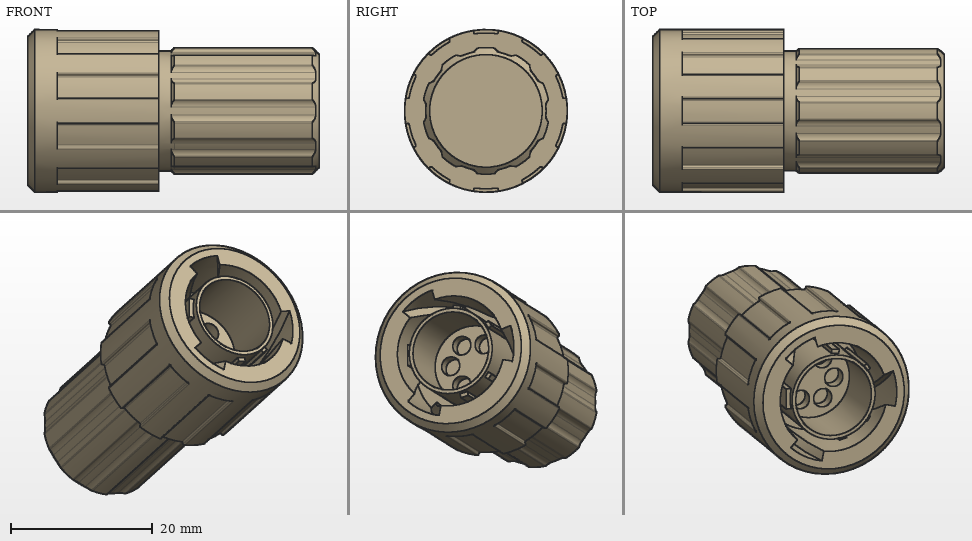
import cadquery as cq
import math

LENGTH = 41.25

COLLAR_R = 23.0 / 2
COLLAR_END = 18.55
COLLAR_CHAMFER = 1.05
COLLAR_GROOVE_START = 4.2
COLLAR_GROOVE_COUNT = 10
COLLAR_GROOVE_WIDTH = 3.45
COLLAR_GROOVE_DEPTH = 0.5
COLLAR_GROOVE_ROUND = 0.2

NECK_R = 17.0 / 2
GRIP_R = 17.9 / 2
GRIP_START = 20.3
GRIP_CHAMFER = 1.0
FLUTE_COUNT = 10
FLUTE_FLOOR_WIDTH = 1.15
FLUTE_SIDE_R = 2.7 / 2
FLUTE_EDGE_ROUND = 0.225

SOCKET_DEPTH = 10.3
SOCKET_FRONT_R = 7.9
SOCKET_FLOOR_R = 7.35
SLEEVE_OUTER_R = 12.3 / 2
SLEEVE_INNER_R = 11.2 / 2

CHANNEL_COUNT = 3
CHANNEL_FRONT_R = 9.35
CHANNEL_FLOOR_R = 8.5
CHANNEL_SPAN = 32.0
CHANNEL_ANGLE = 176.6
CHANNEL_TWIST = 36.0

KEY_OUTER_R = 6.72
KEY_START = 1.0
KEYS = [(0.0, 2.93), (95.0, 1.1), (145.0, 0.85), (215.0, 0.85), (255.0, 1.1)]

CONTACT_COUNT = 6
CONTACT_D = 2.7
CONTACT_CIRCLE_R = 3.3
CONTACT_DEPTH = 2.05

OVERLAP = 0.4


def plane_at(x):
    """Cross-section plane at the given X; its local axes are Y and Z."""
    return cq.Workplane("YZ", origin=(x, 0, 0))


def disc(x_start, x_end, radius):
    return plane_at(x_start).circle(radius).extrude(x_end - x_start)


def turned(points):
    """Solid of revolution about X from (x, radius) points."""
    return cq.Workplane("XY").polyline(points).close().revolve(360, (0, 0, 0), (1, 0, 0))


def polar_point(radius, angle):
    turn = math.radians(angle)
    return radius * math.cos(turn), radius * math.sin(turn)


def cut_around(body, tool, count):
    """Cut copies of a tool spaced evenly about X."""
    for i in range(count):
        body = body.cut(tool.rotate((0, 0, 0), (1, 0, 0), i * 360 / count))
    return body


def collar():
    """Chamfered sleeve with rounded grip grooves running out at its rear end."""
    body = disc(0, COLLAR_END, COLLAR_R).faces("<X").chamfer(COLLAR_CHAMFER)
    floor_r = COLLAR_R - COLLAR_GROOVE_DEPTH
    groove = (
        plane_at(COLLAR_GROOVE_START)
        .center(0, COLLAR_R)
        .rect(COLLAR_GROOVE_WIDTH, COLLAR_R)
        .extrude(COLLAR_END - COLLAR_GROOVE_START)
        .cut(disc(COLLAR_GROOVE_START, COLLAR_END, floor_r))
    )
    body = cut_around(body, groove, COLLAR_GROOVE_COUNT)

    groove_edges = body.edges("|X").filter(lambda e: abs(e.Center().z) > OVERLAP)
    return groove_edges.fillet(COLLAR_GROOVE_ROUND)


def fluted_outline(x):
    """Grip cross-section: crests joined to the neck circle by concave flute sides."""
    pitch = 360 / FLUTE_COUNT
    half_floor = math.degrees(FLUTE_FLOOR_WIDTH / 2 / NECK_R)

    centre_r = NECK_R + FLUTE_SIDE_R
    cos_side = (GRIP_R ** 2 + centre_r ** 2 - FLUTE_SIDE_R ** 2) / (2 * GRIP_R * centre_r)
    side_angle = math.acos(cos_side)
    side_sweep = math.asin(GRIP_R * math.sin(side_angle) / FLUTE_SIDE_R)
    mid_out = centre_r - FLUTE_SIDE_R * math.cos(side_sweep / 2)
    mid_across = FLUTE_SIDE_R * math.sin(side_sweep / 2)
    mid_r = math.hypot(mid_out, mid_across)
    to_mid = half_floor + math.degrees(math.atan2(mid_across, mid_out))
    to_crest = half_floor + math.degrees(side_angle)

    outline = plane_at(x).moveTo(*polar_point(NECK_R, -half_floor))
    for i in range(FLUTE_COUNT):
        flute = i * pitch
        crest = flute + pitch / 2
        next_flute = flute + pitch
        outline = (
            outline
            .threePointArc(polar_point(NECK_R, flute), polar_point(NECK_R, flute + half_floor))
            .threePointArc(polar_point(mid_r, flute + to_mid), polar_point(GRIP_R, flute + to_crest))
            .threePointArc(polar_point(GRIP_R, crest), polar_point(GRIP_R, next_flute - to_crest))
            .threePointArc(
                polar_point(mid_r, next_flute - to_mid),
                polar_point(NECK_R, next_flute - half_floor),
            )
        )
    return outline.close()


def grip():
    """Fluted grip, chamfered at both ends; the flute floors lie flush with the neck."""
    crest_r = (GRIP_R + NECK_R) / 2
    body = fluted_outline(GRIP_START).extrude(LENGTH - GRIP_START)
    crest_edges = body.edges("|X").filter(lambda e: math.hypot(e.Center().y, e.Center().z) > crest_r)
    body = crest_edges.fillet(FLUTE_EDGE_ROUND)
    rise = GRIP_R - NECK_R
    envelope = turned([
        (GRIP_START, 0),
        (GRIP_START, NECK_R),
        (GRIP_START + rise, GRIP_R),
        (LENGTH - GRIP_CHAMFER, GRIP_R),
        (LENGTH, GRIP_R - GRIP_CHAMFER),
        (LENGTH, 0),
    ])
    return body.intersect(envelope)


def tapered_bore(front_r, floor_r):
    return turned([(0, 0), (0, front_r), (SOCKET_DEPTH, floor_r), (SOCKET_DEPTH, 0)])


def bayonet_channel(angle):
    """Helical channel whose outer wall narrows with depth."""
    inner_r = SLEEVE_OUTER_R + OVERLAP
    outer_r = CHANNEL_FRONT_R + OVERLAP
    start = angle - CHANNEL_SPAN / 2
    end = angle + CHANNEL_SPAN / 2
    sector = (
        plane_at(0)
        .moveTo(*polar_point(inner_r, start))
        .lineTo(*polar_point(outer_r, start))
        .threePointArc(polar_point(outer_r, angle), polar_point(outer_r, end))
        .lineTo(*polar_point(inner_r, end))
        .close()
        .twistExtrude(SOCKET_DEPTH, CHANNEL_TWIST)
    )
    return sector.intersect(tapered_bore(CHANNEL_FRONT_R, CHANNEL_FLOOR_R))


def socket():
    """Cavity of the socket: bore and channels around the keyed contact sleeve."""
    cavity = tapered_bore(SOCKET_FRONT_R, SOCKET_FLOOR_R)
    for i in range(CHANNEL_COUNT):
        cavity = cavity.union(bayonet_channel(CHANNEL_ANGLE + i * 360 / CHANNEL_COUNT))

    cavity = cavity.cut(disc(0, SOCKET_DEPTH, SLEEVE_OUTER_R))
    key_length = SOCKET_DEPTH - KEY_START
    for angle, width in KEYS:
        key = (
            plane_at(KEY_START)
            .center(KEY_OUTER_R / 2, 0)
            .rect(KEY_OUTER_R, width)
            .extrude(key_length)
            .rotate((0, 0, 0), (1, 0, 0), angle)
        )
        cavity = cavity.cut(key)
    return cavity.union(disc(0, SOCKET_DEPTH, SLEEVE_INNER_R))


def contact_cavities():
    return (
        plane_at(SOCKET_DEPTH)
        .polarArray(CONTACT_CIRCLE_R, 0, 360, CONTACT_COUNT)
        .circle(CONTACT_D / 2)
        .extrude(CONTACT_DEPTH)
    )


neck = disc(COLLAR_END - OVERLAP, GRIP_START + OVERLAP, NECK_R)
result = collar().union(neck).union(grip()).cut(socket()).cut(contact_cavities())